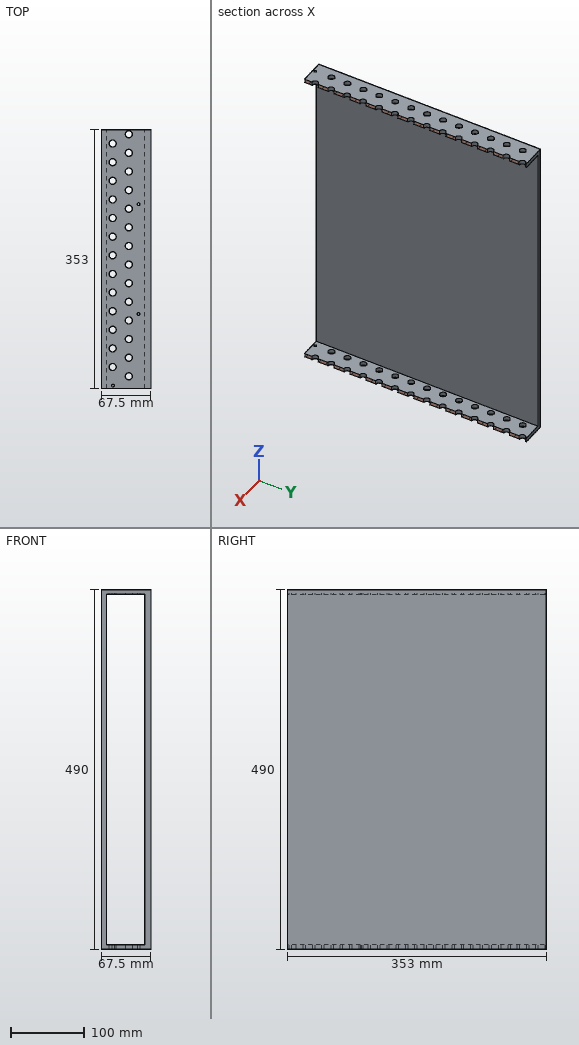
import cadquery as cq

width = 67.5
length = 353.0
height = 490.0

left_wall = 7.0
right_wall = 9.0
top_bottom_wall = 6.5

hole_diameter = 9.5
left_column_x = -18.5
left_column_count = 13
right_column_x = 3.5
right_column_count = 14
right_column_span = 330.0
right_column_front_margin = 16.5
hole_pitch = right_column_span / (right_column_count - 1)
columns_centre_y = -length / 2 + right_column_front_margin + right_column_span / 2

pin_diameter = 3.5
side_pin_x = 16.5
side_pin_count = 2
side_pin_spacing = 149.5
end_pin_x = -18.0
end_pin_edge_distance = 4.0


def column_points(x, count, pitch, centre_y):
    """Evenly spaced points along Y, centred on centre_y."""
    first_y = centre_y - pitch * (count - 1) / 2
    return [(x, first_y + i * pitch) for i in range(count)]


def vertical_drills(points, diameter):
    """Full-height cylinders that cut through both the top and bottom walls."""
    return (
        cq.Workplane("XY")
        .workplane(offset=-height / 2)
        .pushPoints(points)
        .circle(diameter / 2)
        .extrude(height)
    )


tube = cq.Workplane("XY").box(width, length, height)
cavity = (
    cq.Workplane("XY")
    .center((left_wall - right_wall) / 2, 0)
    .box(width - left_wall - right_wall, length, height - 2 * top_bottom_wall)
)

left_column = column_points(left_column_x, left_column_count, hole_pitch, columns_centre_y)
right_column = column_points(right_column_x, right_column_count, hole_pitch, columns_centre_y)
side_pins = column_points(side_pin_x, side_pin_count, side_pin_spacing, 0)
end_pin = (end_pin_x, -length / 2 + end_pin_edge_distance)

result = (
    tube.cut(cavity)
    .cut(vertical_drills(left_column + right_column, hole_diameter))
    .cut(vertical_drills(side_pins + [end_pin], pin_diameter))
)